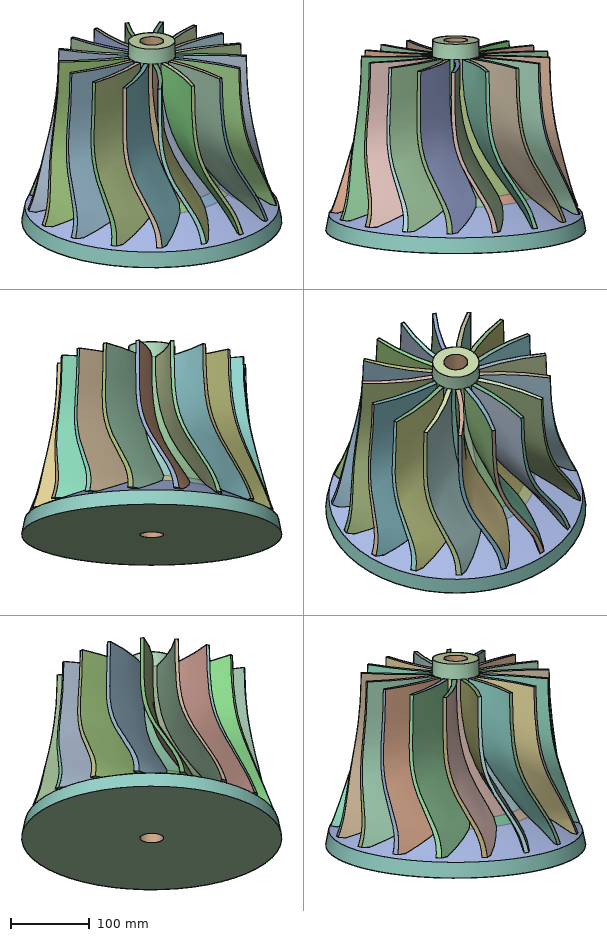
import cadquery as cq
import math

base_radius = 165.0
base_rim_radius = 161.0
base_height = 19.8
cone_radius = 100.3
cone_height = 47.2
collar_radius = 87.8
collar_height = 56.5
hub_radius = 30.0
nose_radius = 29.5
total_height = 245.0
bore_diameter = 30.0

blade_count = 17
blade_bottom = 24.5
blade_top = 225.0
tip_top_radius = 119.8
tip_bottom_radius = 158.5
root_top_thickness = 6.5
root_bottom_thickness = 7.3
middle_top_thickness = 5.5
middle_bottom_thickness = 9.5
tip_thickness = 4.3
top_bow = 4.5
root_embed = 6.5
tip_overhang = 6.5
first_blade_angle = -90.4

root_sweeps = [34.5, 36.4, 27.2, 15.5, 6.8, 2.0, 1.5]
tip_sweeps = [20.2, 17.2, 9.4, 3.0, 0.4, -0.1, -0.2]


def flare_arc_radius(rise, widening):
    """Radius of an arc, vertical at its top, that widens over the given rise."""
    return (rise**2 + widening**2) / (2 * widening)


def flare_at(z, top_radius, bottom_radius, bottom_z):
    """Radius at height z of a flare that is vertical at the blade top."""
    arc = flare_arc_radius(blade_top - bottom_z, bottom_radius - top_radius)
    return top_radius + arc - math.sqrt(arc**2 - (blade_top - z) ** 2)


def hub_radius_at(z):
    """Radius of the hub flare at height z, continued inside the cones further down."""
    return flare_at(z, hub_radius, collar_radius, collar_height)


def make_hub():
    """Base disk, conical floor, flared hub and nose as one revolved body."""
    flare_middle_z = (collar_height + blade_top) / 2
    return (
        cq.Workplane("XZ")
        .moveTo(bore_diameter / 2, 0)
        .lineTo(base_radius, 0)
        .lineTo(base_rim_radius, base_height)
        .lineTo(cone_radius, cone_height)
        .lineTo(collar_radius, collar_height)
        .threePointArc((hub_radius_at(flare_middle_z), flare_middle_z), (hub_radius, blade_top))
        .lineTo(nose_radius, total_height)
        .lineTo(bore_diameter / 2, total_height)
        .close()
        .revolve(360, (0, 0, 0), (0, 1, 0))
    )


def tip_radius_at(z):
    """Radius of the shroud surface, which bounds the blade tips, at height z."""
    return flare_at(z, tip_top_radius, tip_bottom_radius, blade_bottom)


def make_shroud():
    """Solid of revolution that fills the space under the blade tips."""
    middle_z = (blade_bottom + blade_top) / 2
    return (
        cq.Workplane("XZ")
        .moveTo(0, blade_bottom)
        .lineTo(tip_bottom_radius, blade_bottom)
        .threePointArc((tip_radius_at(middle_z), middle_z), (tip_top_radius, blade_top))
        .lineTo(0, blade_top)
        .close()
        .revolve(360, (0, 0, 0), (0, 1, 0))
    )


def polar_point(radius, sweep, z):
    angle = math.radians(first_blade_angle + sweep)
    return cq.Vector(radius * math.cos(angle), radius * math.sin(angle), z)


def along_blade(z, bottom_value, top_value):
    """Value at height z that changes evenly from the blade bottom to its top."""
    return bottom_value + (top_value - bottom_value) * (z - blade_bottom) / (blade_top - blade_bottom)


def blade_section(z, root_sweep, tip_sweep):
    """Closed outline of the blade at height z, from inside the hub to past the tip."""
    root = polar_point(hub_radius_at(z), root_sweep, z)
    tip = polar_point(tip_radius_at(z), tip_sweep, z)
    chord = (tip - root).normalized()
    side = cq.Vector(-chord.y, chord.x, 0)
    bow = along_blade(z, 0, top_bow)
    root_thickness = along_blade(z, root_bottom_thickness, root_top_thickness)
    middle_thickness = along_blade(z, middle_bottom_thickness, middle_top_thickness)

    start = root - chord * root_embed
    middle = (root + tip) * 0.5 + side * bow
    end = tip + chord * tip_overhang
    mean_line = [(start, root_thickness), (middle, middle_thickness), (end, tip_thickness)]
    left = [point + side * (thickness / 2) for point, thickness in mean_line]
    right = [point - side * (thickness / 2) for point, thickness in mean_line]
    return cq.Wire.assembleEdges(
        [
            cq.Edge.makeSpline(right),
            cq.Edge.makeLine(right[-1], left[-1]),
            cq.Edge.makeSpline(left[::-1]),
            cq.Edge.makeLine(left[0], right[0]),
        ]
    )


def make_blade():
    """One blade lofted through its horizontal sections and trimmed by the shroud."""
    spacing = (blade_top - blade_bottom) / (len(tip_sweeps) - 1)
    sections = []
    for level, (root_sweep, tip_sweep) in enumerate(zip(root_sweeps, tip_sweeps)):
        sections.append(blade_section(blade_bottom + level * spacing, root_sweep, tip_sweep))
    return cq.Solid.makeLoft(sections).intersect(make_shroud().val())


blade = make_blade()
pitch = 360 / blade_count
origin = cq.Vector(0, 0, 0)
z_axis = cq.Vector(0, 0, 1)
blades = [blade.rotate(origin, z_axis, i * pitch) for i in range(blade_count)]
result = cq.Workplane(make_hub().val().fuse(*blades))